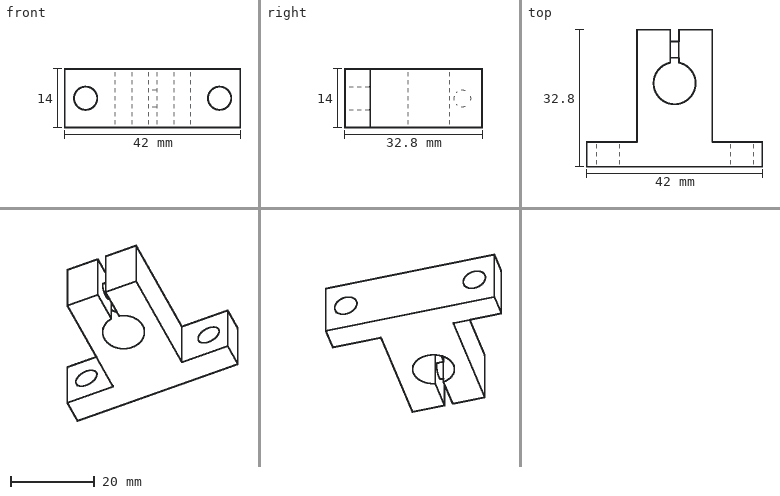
import cadquery as cq

base_length = 42.0
base_thickness = 6.0
height = 14.0

overall_depth = 32.8
block_width = 18.0

bore_diameter = 10.0
bore_y = 20.0
slot_width = 2.0

screw_diameter = 4.0
screw_y = 28.0

mount_diameter = 5.5
mount_spacing = 32.0


def make_body():
    """T-shaped body with its mounting face on Y = 0."""
    base = cq.Workplane("XY").box(base_length, base_thickness, height, centered=(True, False, False))
    block = cq.Workplane("XY").box(block_width, overall_depth, height, centered=(True, False, False))
    return base.union(block)


def make_bore():
    return cq.Workplane("XY").center(0, bore_y).circle(bore_diameter / 2).extrude(height)


def make_slot():
    """Slot from the bore centre out through the far end of the block."""
    slot_length = overall_depth - bore_y
    return (
        cq.Workplane("XY")
        .box(slot_width, slot_length, height, centered=(True, False, False))
        .translate((0, bore_y, 0))
    )


def make_mounting_holes():
    return (
        cq.Workplane("XZ")
        .pushPoints([(side * mount_spacing / 2, height / 2) for side in (-1, 1)])
        .circle(mount_diameter / 2)
        .extrude(-base_thickness)
    )


def make_screw():
    """Screw shank embedded in both jaws, at mid height."""
    return (
        cq.Workplane("YZ")
        .center(screw_y, height / 2)
        .circle(screw_diameter / 2)
        .extrude(slot_width, both=True)
    )


body = make_body().cut(make_bore()).cut(make_slot()).cut(make_mounting_holes())
result = body.union(make_screw())